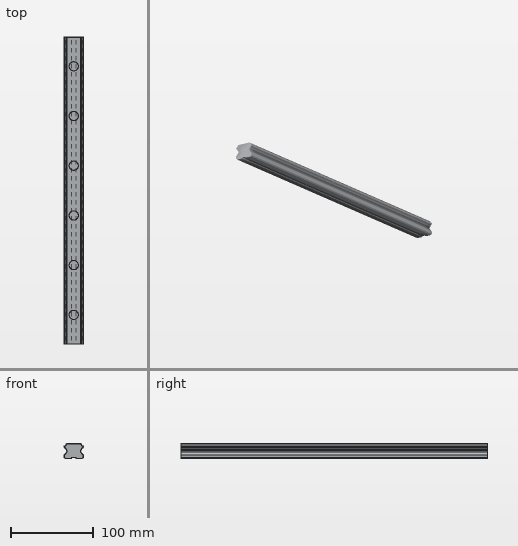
import cadquery as cq

LENGTH = 370
WIDTH = 23.0
HEIGHT = 18.0

CROWN_HALF_WIDTH = 8.0
CROWN_CHAMFER_WIDTH = 1.0
CROWN_CHAMFER_DROP = 0.7
UPPER_TRACK_BOTTOM_Z = 15.0
UPPER_TRACK_SAG = 0.7

LIP_BOTTOM_Z = 13.7
LIP_CHAMFER_WIDTH = 0.5
LIP_CHAMFER_DROP = 0.7

LOWER_TRACK_END_X = 9.2
LOWER_TRACK_END_Z = 10.7
LOWER_TRACK_SAG = 0.55
WAIST_HALF_WIDTH = 8.0
WAIST_TOP_Z = 9.5
WAIST_BOTTOM_Z = 8.0

FOOT_TOP_Z = 4.5
FOOT_CHAMFER = 1.3

RELIEF_HALF_WIDTH = 2.5
RELIEF_DEPTH = 1.0

HOLE_COUNT = 6
HOLE_PITCH = 60.0
HOLE_DIAMETER = 11.0
CAP_RECESS = 0.2


def half_rail():
    """Right half of the rail, outlined from the underside up to the crown."""
    edge_x = WIDTH / 2
    crown_edge_x = CROWN_HALF_WIDTH + CROWN_CHAMFER_WIDTH
    return (
        cq.Workplane("XZ", origin=(0, 0, -HEIGHT / 2))
        .moveTo(0, RELIEF_DEPTH)
        .lineTo(RELIEF_HALF_WIDTH, RELIEF_DEPTH)
        .lineTo(RELIEF_HALF_WIDTH, 0)
        .lineTo(edge_x - FOOT_CHAMFER, 0)
        .lineTo(edge_x, FOOT_CHAMFER)
        .lineTo(edge_x, FOOT_TOP_Z)
        .lineTo(WAIST_HALF_WIDTH, WAIST_BOTTOM_Z)
        .lineTo(WAIST_HALF_WIDTH, WAIST_TOP_Z)
        .lineTo(LOWER_TRACK_END_X, LOWER_TRACK_END_Z)
        .sagittaArc((edge_x - LIP_CHAMFER_WIDTH, LIP_BOTTOM_Z - LIP_CHAMFER_DROP), LOWER_TRACK_SAG)
        .lineTo(edge_x, LIP_BOTTOM_Z)
        .lineTo(edge_x, UPPER_TRACK_BOTTOM_Z)
        .sagittaArc((crown_edge_x, HEIGHT - CROWN_CHAMFER_DROP), UPPER_TRACK_SAG)
        .lineTo(CROWN_HALF_WIDTH, HEIGHT)
        .lineTo(0, HEIGHT)
        .close()
        .extrude(LENGTH / 2, both=True)
    )


def rail_bar():
    """Full rail, symmetric about the YZ plane."""
    right_half = half_rail()
    return right_half.union(right_half.mirror("YZ")).clean()


def cap_recesses():
    """Shallow round pockets left above the caps."""
    return (
        cq.Workplane("XY")
        .workplane(offset=HEIGHT / 2 - CAP_RECESS)
        .rarray(3.7, HOLE_PITCH, 1, HOLE_COUNT)
        .circle(HOLE_DIAMETER / 2)
        .extrude(CAP_RECESS)
    )


result = rail_bar().cut(cap_recesses())